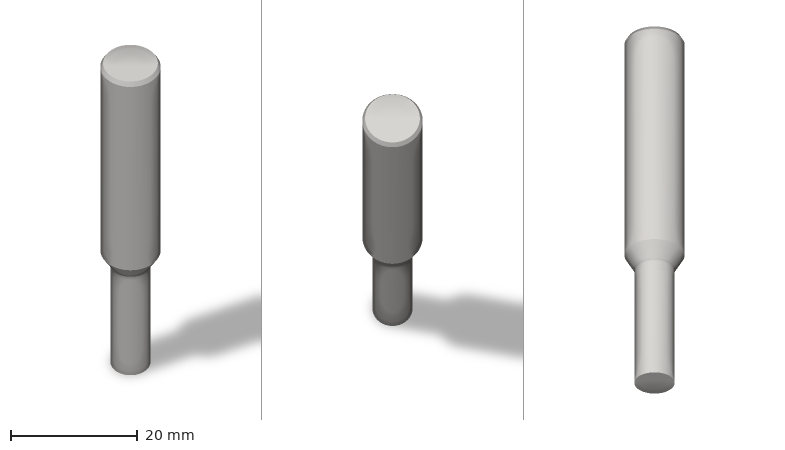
import cadquery as cq

total_length = 63.5
shank_diameter = 9.5
neck_diameter = 6.35

cutter_length = 19.05
neck_length = 1.9
taper_length = 2.8
end_chamfer = 0.75
chamfer_inset = 0.45

shank_radius = shank_diameter / 2
neck_radius = neck_diameter / 2
neck_top = cutter_length + neck_length
taper_top = neck_top + taper_length


def make_shank():
    """Turned shank: neck, taper, cylinder and chamfered upper end."""
    profile = [
        (0, cutter_length),
        (neck_radius, cutter_length),
        (neck_radius, neck_top),
        (shank_radius, taper_top),
        (shank_radius, total_length - end_chamfer),
        (shank_radius - chamfer_inset, total_length),
        (0, total_length),
    ]
    return cq.Workplane("XZ").polyline(profile).close().revolve(360, (0, 0), (0, 1))


def make_cutter():
    """Plain round cutter standing below the neck."""
    return cq.Workplane("XY").circle(neck_radius).extrude(cutter_length)


shank = make_shank()
cutter = make_cutter()

result = cq.Compound.makeCompound([shank.val(), cutter.val()])